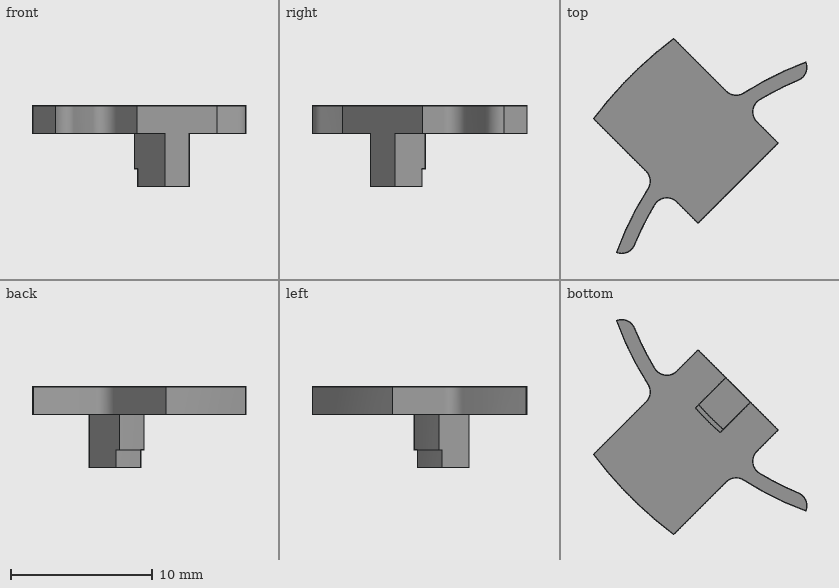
import cadquery as cq
import math

TURN = -45.0

PLATE_THICKNESS = 2.0
BODY_WIDTH = 8.03
FRONT_DISTANCE = 17.82
BACK_RADIUS = 28.58

WING_OUTER_RADIUS = 22.57
WING_INNER_RADIUS = 21.56
LEFT_WING_ANGLE = 25.1
RIGHT_WING_ANGLE = 24.8
ROOT_FILLET = 1.0
TIP_FILLET = 0.99

STEM_WIDTH = 2.47
STEM_UPPER_HEIGHT = 2.5
STEM_LOWER_HEIGHT = 1.25
STEM_BACK_RADIUS = 20.9
STEM_STEP = 0.32


def polar(radius, angle):
    """Point at a radius and an angle measured from -X, positive towards +Y."""
    radians = math.radians(angle)
    return (-radius * math.cos(radians), radius * math.sin(radians))


def round_backed_block(width, back_radius, bottom, height):
    """Block with a flat front and a back rounded about the common axis."""
    half = width / 2
    back_corner = -math.sqrt(back_radius**2 - half**2)
    return (
        cq.Workplane("XY", origin=(0, 0, bottom))
        .moveTo(-FRONT_DISTANCE, -half)
        .lineTo(back_corner, -half)
        .threePointArc((-back_radius, 0), (back_corner, half))
        .lineTo(-FRONT_DISTANCE, half)
        .close()
        .extrude(height)
    )


def wing_band():
    """Ring sector that crosses the body and forms both wings."""
    return (
        cq.Workplane("XY")
        .moveTo(*polar(WING_OUTER_RADIUS, -LEFT_WING_ANGLE))
        .threePointArc((-WING_OUTER_RADIUS, 0), polar(WING_OUTER_RADIUS, RIGHT_WING_ANGLE))
        .lineTo(*polar(WING_INNER_RADIUS, RIGHT_WING_ANGLE))
        .threePointArc((-WING_INNER_RADIUS, 0), polar(WING_INNER_RADIUS, -LEFT_WING_ANGLE))
        .close()
        .extrude(PLATE_THICKNESS)
    )


def fillet_upright_edge(body, point, radius):
    """Round the vertical edge of the plate that stands nearest to a point."""
    middle = (*point, PLATE_THICKNESS / 2)
    return body.edges("|Z").edges(cq.NearestToPointSelector(middle)).fillet(radius)


def make_plate():
    plate = round_backed_block(BODY_WIDTH, BACK_RADIUS, 0, PLATE_THICKNESS).union(wing_band())
    half = BODY_WIDTH / 2
    for side, wing_angle in ((-1, LEFT_WING_ANGLE), (1, RIGHT_WING_ANGLE)):
        for radius in (WING_OUTER_RADIUS, WING_INNER_RADIUS):
            root = (-math.sqrt(radius**2 - half**2), side * half)
            plate = fillet_upright_edge(plate, root, ROOT_FILLET)
        tip = polar(WING_INNER_RADIUS, side * wing_angle)
        plate = fillet_upright_edge(plate, tip, TIP_FILLET)
    return plate


def make_stem():
    upper = round_backed_block(STEM_WIDTH, STEM_BACK_RADIUS, -STEM_UPPER_HEIGHT, STEM_UPPER_HEIGHT)
    lower = round_backed_block(
        STEM_WIDTH,
        STEM_BACK_RADIUS - STEM_STEP,
        -STEM_UPPER_HEIGHT - STEM_LOWER_HEIGHT,
        STEM_LOWER_HEIGHT,
    )
    return upper.union(lower)


result = make_plate().union(make_stem()).rotate((0, 0, 0), (0, 0, 1), TURN)